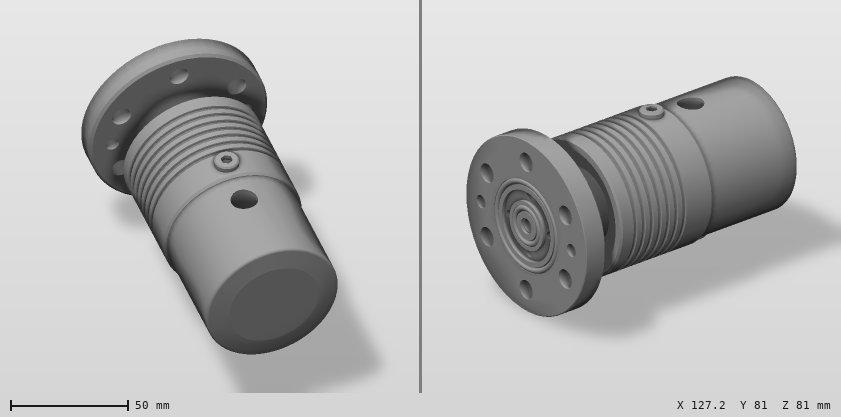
import cadquery as cq
import math


flange_dia = 81.0
flange_front_x = 0.5
flange_rear_x = 11.7
flange_front_chamfer = 0.4
flange_rear_chamfer = 1.1
neck_dia = 35.0
neck_fillet = 2.5

bolt_circle_dia = 60.5
bolt_hole_dia = 8.8
bolt_hole_count = 6
dowel_hole_dia = 6.0
dowel_angles = (0, 180)

o_ring_section_dia = 2.5
outer_o_ring_dia = 42.7
inner_o_ring_dia = 18.8
groove_slack = 0.4
annulus_outer_dia = 32.5
annulus_inner_dia = 22.4
annulus_depth = 1.9
annulus_hole_dia = 3.5
annulus_hole_circle_dia = 27.0
annulus_hole_count = 4
annulus_hole_length = 12.7
annulus_hole_tilt = 15
bore_dia = 6.0
bore_mouth_dia = 7.1
bore_mouth_depth = 1.3
bore_depth = 63.6

housing_front_x = 27.2
housing_rear_x = 78.4
housing_dia = 62.8
housing_front_chamfer = 0.9
housing_rear_chamfer_length = 1.3
housing_rear_chamfer_height = 0.8
shoulder_fillet = 0.6

rib_groove_dia = 61.0
rib_groove_count = 7
first_groove_start_x = 34.1
last_groove_end_x = 63.2
rib_groove_width = 2.2
rib_groove_taper = 0.3
rib_groove_pitch = (last_groove_end_x - first_groove_start_x - rib_groove_width) / (rib_groove_count - 1)

front_recess_dia = 55.1
front_recess_depth = 4.2
floor_step_dia = 44.0
floor_step_depth = 0.5

rear_dia = 59.9
rear_end_x = 127.2
rear_fillet = 1.3
rear_fillet_end_x = 126.0
rear_face_dia = 40.7

port_x = 91.3
port_dia = 11.7
port_floor_z = 10.2
boss_dia = 14.0
boss_end_z = -32.3
boss_chamfer = 0.4
plug_x = 69.8
plug_dia = 10.7
plug_top_z = 34.0
plug_chamfer = 0.6
hex_across_flats = 4.6
hex_depth = 2.5


def axial_cylinder(dia, start_x, end_x):
    """Solid cylinder on the X axis between two X positions."""
    return cq.Workplane("YZ").workplane(offset=start_x).circle(dia / 2).extrude(end_x - start_x)


def axial_ring(outer_dia, inner_dia, start_x, end_x):
    """Hollow cylinder on the X axis between two X positions."""
    return axial_cylinder(outer_dia, start_x, end_x).cut(axial_cylinder(inner_dia, start_x, end_x))


def axial_holes(hole_dia, circle_dia, angles, start_x, end_x):
    """Cylinders parallel to X, spread on a circle; the angle 0 points along +Y."""
    radius = circle_dia / 2
    places = [
        (radius * math.cos(math.radians(angle)), radius * math.sin(math.radians(angle)))
        for angle in angles
    ]
    sketch = cq.Workplane("YZ").workplane(offset=start_x).pushPoints(places)
    return sketch.circle(hole_dia / 2).extrude(end_x - start_x)


def turned_body():
    """Revolved outline of flange, neck, housing and rear body."""
    flange_radius = flange_dia / 2
    neck_radius = neck_dia / 2
    housing_radius = housing_dia / 2
    rear_radius = rear_dia / 2
    chamfer_foot = housing_radius - housing_rear_chamfer_height
    diagonal = 1 - math.sqrt(0.5)
    outline = (
        cq.Workplane("XY")
        .moveTo(flange_front_x, 0)
        .lineTo(flange_front_x, flange_radius - flange_front_chamfer)
        .lineTo(flange_front_x + flange_front_chamfer, flange_radius)
        .lineTo(flange_rear_x - flange_rear_chamfer, flange_radius)
        .lineTo(flange_rear_x, flange_radius - flange_rear_chamfer)
        .lineTo(flange_rear_x, neck_radius + neck_fillet)
        .threePointArc(
            (flange_rear_x + diagonal * neck_fillet, neck_radius + diagonal * neck_fillet),
            (flange_rear_x + neck_fillet, neck_radius),
        )
        .lineTo(housing_front_x, neck_radius)
        .lineTo(housing_front_x, housing_radius - housing_front_chamfer)
        .lineTo(housing_front_x + housing_front_chamfer, housing_radius)
        .lineTo(housing_rear_x - housing_rear_chamfer_length, housing_radius)
        .lineTo(housing_rear_x, chamfer_foot)
        .lineTo(housing_rear_x, rear_radius + shoulder_fillet)
        .threePointArc(
            (housing_rear_x + diagonal * shoulder_fillet, rear_radius + diagonal * shoulder_fillet),
            (housing_rear_x + shoulder_fillet, rear_radius),
        )
        .lineTo(rear_fillet_end_x - rear_fillet, rear_radius)
        .threePointArc(
            (rear_fillet_end_x - diagonal * rear_fillet, rear_radius - diagonal * rear_fillet),
            (rear_fillet_end_x, rear_radius - rear_fillet),
        )
        .lineTo(rear_end_x, rear_face_dia / 2)
        .lineTo(rear_end_x, 0)
        .close()
    )
    return outline.revolve(360, (0, 0, 0), (1, 0, 0))


def rib_grooves():
    """Grooves with slightly tapered walls that leave the ribs round the housing."""
    mouth_radius = housing_dia / 2
    floor_radius = rib_groove_dia / 2
    grooves = cq.Workplane("XY")
    for index in range(rib_groove_count):
        start_x = first_groove_start_x + index * rib_groove_pitch
        end_x = start_x + rib_groove_width
        outline = cq.Workplane("XY").polyline([
            (start_x, mouth_radius),
            (start_x + rib_groove_taper, floor_radius),
            (end_x - rib_groove_taper, floor_radius),
            (end_x, mouth_radius),
        ])
        grooves = grooves.add(outline.close().revolve(360, (0, 0, 0), (1, 0, 0)))
    return grooves.combine()


def front_recess():
    """Recess round the neck in the front face of the housing, with a stepped floor."""
    floor_x = housing_front_x + front_recess_depth
    recess = axial_ring(front_recess_dia, neck_dia, housing_front_x, floor_x)
    step = axial_ring(floor_step_dia, neck_dia, floor_x, floor_x + floor_step_depth)
    return recess.union(step)


def o_ring_groove(ring_dia):
    """Face groove that an O-ring of this outer diameter fills at its outer wall and floor."""
    inner_dia = ring_dia - 2 * (o_ring_section_dia + groove_slack)
    return axial_ring(ring_dia, inner_dia, 0, o_ring_section_dia)


def flange_holes():
    """Bolt and dowel holes through the flange, on one circle."""
    bolt_angles = [90 + index * 360 / bolt_hole_count for index in range(bolt_hole_count)]
    bolts = axial_holes(bolt_hole_dia, bolt_circle_dia, bolt_angles, 0, flange_rear_x)
    dowels = axial_holes(dowel_hole_dia, bolt_circle_dia, dowel_angles, 0, flange_rear_x)
    return bolts.union(dowels)


def annular_passage():
    """Annular recess in the sealing face, with a ring of holes that lean towards the axis."""
    floor_x = flange_front_x + annulus_depth
    hole_radius = annulus_hole_circle_dia / 2
    tilt = math.radians(annulus_hole_tilt)
    lead_in = annulus_depth
    mouth = cq.Vector(floor_x - lead_in, 0, hole_radius + lead_in * math.tan(tilt))
    direction = cq.Vector(math.cos(tilt), 0, -math.sin(tilt))
    hole_length = annulus_hole_length + lead_in / math.cos(tilt)
    hole = cq.Workplane(cq.Solid.makeCylinder(annulus_hole_dia / 2, hole_length, mouth, direction))
    passage = axial_ring(annulus_outer_dia, annulus_inner_dia, 0, floor_x)
    for index in range(annulus_hole_count):
        angle = index * 360 / annulus_hole_count
        passage = passage.union(hole.rotate((0, 0, 0), (1, 0, 0), angle))
    return passage


def central_passage():
    """Blind bore along the axis with a wider mouth."""
    bore = axial_cylinder(bore_dia, 0, bore_depth)
    mouth = axial_cylinder(bore_mouth_dia, 0, flange_front_x + bore_mouth_depth)
    return bore.union(mouth)


def side_port():
    """Blind port bored down into the top of the rear body."""
    sketch = cq.Workplane("XY").workplane(offset=port_floor_z).center(port_x, 0)
    return sketch.circle(port_dia / 2).extrude(rear_dia / 2 - port_floor_z)


def drain_plug_head():
    """Round plug head with a chamfered rim, standing on the top of the housing."""
    head = cq.Workplane("XY").center(plug_x, 0).circle(plug_dia / 2).extrude(plug_top_z)
    return head.faces(">Z").edges().chamfer(plug_chamfer)


def drain_plug_socket():
    """Hexagon socket in the plug head."""
    across_corners = hex_across_flats / math.cos(math.radians(30))
    sketch = cq.Workplane("XY").workplane(offset=plug_top_z).center(plug_x, 0)
    return sketch.polygon(6, across_corners).extrude(-hex_depth)


def lower_boss():
    """Round boss under the rear body, opposite the side port."""
    side_z = -rear_dia / 4
    sketch = cq.Workplane("XY").workplane(offset=side_z).center(port_x, 0)
    boss = sketch.circle(boss_dia / 2).extrude(boss_end_z - side_z)
    return boss.faces("<Z").edges().chamfer(boss_chamfer)


def rotary_union():
    """Flanged body of the rotary union with all its features."""
    body = turned_body().cut(rib_grooves()).cut(front_recess())
    body = body.union(drain_plug_head()).union(lower_boss())
    body = body.cut(drain_plug_socket()).cut(flange_holes())
    body = body.cut(annular_passage()).cut(central_passage()).cut(side_port())
    for ring_dia in (outer_o_ring_dia, inner_o_ring_dia):
        body = body.cut(o_ring_groove(ring_dia))
    return body


def o_ring(ring_dia):
    """O-ring of this outer diameter; it stands a little proud of the sealing face."""
    section_radius = o_ring_section_dia / 2
    centre_radius = ring_dia / 2 - section_radius
    centre = cq.Vector(section_radius, 0, 0)
    return cq.Solid.makeTorus(centre_radius, section_radius, centre, cq.Vector(1, 0, 0))


union_body = rotary_union()
o_rings = [o_ring(ring_dia) for ring_dia in (outer_o_ring_dia, inner_o_ring_dia)]

result = cq.Compound.makeCompound([union_body.val(), *o_rings])